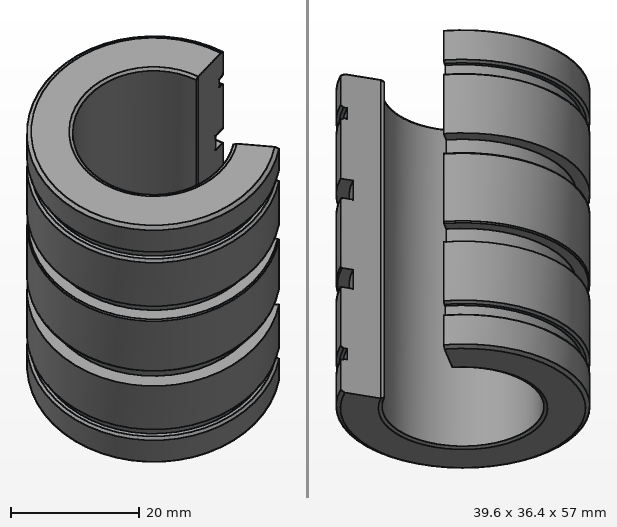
import cadquery as cq
import math

length = 56.95
outer_radius = 19.8
bore_radius = 12.65
liner_thickness = 0.55
liner_radius = bore_radius + liner_thickness

rim_chamfer_width = 0.7
rim_chamfer_height = 0.4
liner_chamfer_height = 0.3

narrow_groove_offset = 6.0
narrow_groove_width = 1.95
narrow_groove_radius = 18.75
narrow_edge_width = 0.5
narrow_edge_height = 0.35

wide_groove_radius = 17.8
central_band_length = 12.55
wide_groove_width = 3.4
band_edge_chamfer = 0.2

opening_angle = 60.0
opening_apex_y = -2.05
opening_reach = 2 * outer_radius


def revolve_profile(points):
    """Revolve a closed (radius, z) outline about the Z axis."""
    return cq.Workplane("XZ").polyline(points).close().revolve(360, (0, 0), (0, 1))


def make_opening():
    """Wedge that turns the closed ring into a C section."""
    half_width = opening_reach * math.tan(math.radians(opening_angle / 2))
    far_y = opening_apex_y + opening_reach
    return (
        cq.Workplane("XY", origin=(0, 0, -length / 2))
        .polyline([(0, opening_apex_y), (half_width, far_y), (-half_width, far_y)])
        .close()
        .extrude(length)
    )


def upper_outer_outline():
    """Outer (radius, z) points from the central band up to the top face."""
    top = length / 2
    band_top = central_band_length / 2
    wide_top = band_top + wide_groove_width
    narrow_top = top - narrow_groove_offset
    narrow_bottom = narrow_top - narrow_groove_width
    narrow_edge_radius = outer_radius - narrow_edge_width
    return [
        (outer_radius, band_top - band_edge_chamfer),
        (outer_radius - band_edge_chamfer, band_top),
        (wide_groove_radius, band_top),
        (wide_groove_radius, wide_top),
        (outer_radius, wide_top),
        (outer_radius, narrow_bottom - narrow_edge_height),
        (narrow_edge_radius, narrow_bottom),
        (narrow_groove_radius, narrow_bottom),
        (narrow_groove_radius, narrow_top),
        (narrow_edge_radius, narrow_top),
        (outer_radius, narrow_top + narrow_edge_height),
        (outer_radius, top - rim_chamfer_height),
        (outer_radius - rim_chamfer_width, top),
    ]


def make_housing():
    """Grooved outer shell, symmetric about its middle plane."""
    upper = upper_outer_outline()
    lower = [(radius, -z) for radius, z in reversed(upper)]
    inner = [(liner_radius, length / 2), (liner_radius, -length / 2)]
    return revolve_profile(lower + upper + inner).cut(make_opening())


def make_liner():
    """Thin bearing liner whose ends slope inward from the housing faces."""
    outer_z = length / 2
    inner_z = outer_z - liner_chamfer_height
    ring = revolve_profile([
        (liner_radius, -outer_z),
        (liner_radius, outer_z),
        (bore_radius, inner_z),
        (bore_radius, -inner_z),
    ])
    return ring.cut(make_opening())


housing = make_housing()
liner = make_liner()

result = cq.Compound.makeCompound([housing.val(), liner.val()])